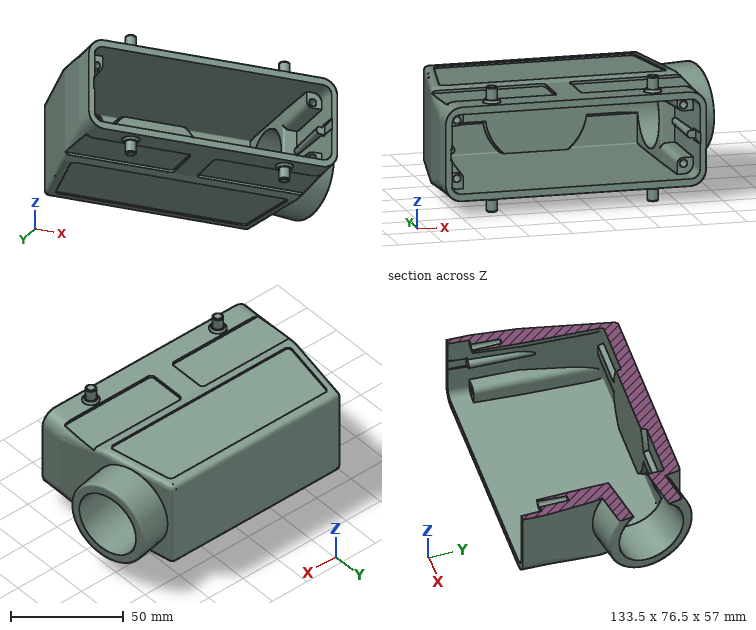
import cadquery as cq
import math


COLLAR_TOP = 11.1
SHOULDER_BOTTOM = 32.3
SHOULDER_TOP = 37.0
HOOD_TOP = 76.1
END_TILT = 11.0
MOUTH_HALF_X = 59.8
SHOULDER_HALF_X = 57.7
COLLAR_HALF_Z = 21.5
HOOD_HALF_Z = 22.5
COLLAR_RADIUS = 7.5
HOOD_RADIUS = 2.4
TOP_ROUND = 2.3

CAVITY_MOUTH_HALF = (57.0, 18.2)
CAVITY_KNEE_HALF = (55.0, 18.2)
CAVITY_FLOOR_HALF = (47.0, 18.2)
CAVITY_KNEE = 32.0
CAVITY_FLOOR = 68.9
CAVITY_RADIUS = 4.3
CAVITY_FLOOR_RADIUS = 0.8
CAVITY_FLOOR_ROUND = 0.5

PATTERN_HEIGHT = 2.4
DISK_RADIUS = 23.4
DISK_BASE_RADIUS = 24.2
RIB_HALF_WIDTH = 2.8
RIB_BASE_HALF_WIDTH = 4.3

POST_FRONT = 9.6
POST_FRONT_INSIDE = (49.1, 10.7)
POST_KNEE_INSIDE = (48.1, 9.6)
POST_BACK_INSIDE = (47.3, 9.6)
POST_RADIUS = 3.0
SCREW_POSITION = (52.1, 13.4)
SCREW_DIAMETER = 3.5
SCREW_END_DIAMETER = 2.5
SCREW_DEPTH = 13.4
KEY_FRONT = 8.7
KEY_DIAMETER = 3.5
KEY_CENTER_X = 55.2
KEY_GROOVE_WIDTH = 5.1
KEY_GROOVE_DEPTH = 0.4
END_BLOCK_FRONT = 33.7
END_BLOCK_ROUND = 1.2
END_BLOCK_FRONT_X = 48.1

OUTLET_CENTER = (70.0, 56.4)
OUTLET_DIAMETER = 41.4
OUTLET_BORE = 32.0
OUTLET_LENGTH = 21.4
OUTLET_ROUND = 1.2
BORE_LENGTH = 42.7

PEG_X = 37.0
PEG_Y = 6.4
PEG_DIAMETER = 5.0
PEG_SPAN = 57.0
PEG_CHAMFER = 0.5
PEG_FOOT_DIAMETER = 8.0
PEG_FOOT_TOP_DIAMETER = 6.1
PEG_FOOT_HEIGHT = 1.2

PANEL_TOP = 71.2
PANEL_MARGIN = 4.3
PANEL_DEPTH = 0.8
PANEL_RADIUS = 2.1
GRIP_INNER_X = 5.6
GRIP_DEPTH = 1.2
GRIP_RADIUS = 2.0

OVERLAP = 1.3


def end_wall_x(y):
    """Half length of the hood at height y above the shoulder."""
    return SHOULDER_HALF_X - (y - SHOULDER_BOTTOM) * math.tan(math.radians(END_TILT))


def rounded_rectangle(half_x, half_z, radius):
    return cq.Sketch().rect(2 * half_x, 2 * half_z).vertices().fillet(radius)


def loft_along_y(start, start_y, end, end_y):
    """Straight-sided body between two XZ outlines."""
    end_place = cq.Location(cq.Vector(0, 0, start_y - end_y))
    plane = cq.Workplane("XZ", origin=(0, start_y, 0))
    return plane.placeSketch(start, end.moved(end_place)).loft(ruled=True)


def both_sides(body, plane):
    return body.union(body.mirror(plane))


def outer_shell():
    collar = rounded_rectangle(MOUTH_HALF_X, COLLAR_HALF_Z, COLLAR_RADIUS)
    waist = rounded_rectangle(SHOULDER_HALF_X, COLLAR_HALF_Z, HOOD_RADIUS)
    shoulder = rounded_rectangle(end_wall_x(SHOULDER_TOP), HOOD_HALF_Z, HOOD_RADIUS)
    top = rounded_rectangle(end_wall_x(HOOD_TOP), HOOD_HALF_Z, HOOD_RADIUS)
    upper = loft_along_y(shoulder, SHOULDER_TOP, top, HOOD_TOP)
    upper = upper.faces(">Y").edges().fillet(TOP_ROUND)
    return (
        loft_along_y(collar, 0, collar, COLLAR_TOP)
        .union(loft_along_y(collar, COLLAR_TOP, waist, SHOULDER_BOTTOM))
        .union(loft_along_y(waist, SHOULDER_BOTTOM, shoulder, SHOULDER_TOP))
        .union(upper)
    )


def cavity():
    mouth = rounded_rectangle(*CAVITY_MOUTH_HALF, CAVITY_RADIUS)
    knee = rounded_rectangle(*CAVITY_KNEE_HALF, CAVITY_RADIUS)
    floor = rounded_rectangle(*CAVITY_FLOOR_HALF, CAVITY_FLOOR_RADIUS)
    lower = loft_along_y(mouth, 0, knee, CAVITY_KNEE)
    upper = loft_along_y(knee, CAVITY_KNEE, floor, CAVITY_FLOOR)
    return lower.union(upper.faces(">Y").edges().fillet(CAVITY_FLOOR_ROUND))


def floor_pattern():
    pattern_top = CAVITY_FLOOR - PATTERN_HEIGHT
    disk = cq.Workplane(
        cq.Solid.makeCone(
            DISK_BASE_RADIUS,
            DISK_RADIUS,
            PATTERN_HEIGHT,
            pnt=cq.Vector(0, CAVITY_FLOOR, 0),
            dir=cq.Vector(0, -1, 0),
        )
    )
    rib = (
        cq.Workplane("YZ")
        .polyline(
            [
                (CAVITY_FLOOR, -RIB_BASE_HALF_WIDTH),
                (CAVITY_FLOOR, RIB_BASE_HALF_WIDTH),
                (pattern_top, RIB_HALF_WIDTH),
                (pattern_top, -RIB_HALF_WIDTH),
            ]
        )
        .close()
        .extrude(MOUTH_HALF_X, both=True)
    )
    return disk.union(rib)


def post_outline(inside):
    """Rounded block that reaches from its inner corner into the walls."""
    inner_x, inner_z = inside
    size_x = MOUTH_HALF_X - inner_x
    size_z = COLLAR_HALF_Z - inner_z
    center = (inner_x + size_x / 2, inner_z + size_z / 2)
    return cq.Sketch().push([center]).rect(size_x, size_z).reset().vertices().fillet(POST_RADIUS)


def screw_posts():
    front = post_outline(POST_FRONT_INSIDE)
    knee = post_outline(POST_KNEE_INSIDE)
    back = post_outline(POST_BACK_INSIDE)
    post = loft_along_y(front, POST_FRONT, knee, CAVITY_KNEE)
    post = post.union(loft_along_y(knee, CAVITY_KNEE, back, CAVITY_FLOOR))
    return both_sides(both_sides(post, "YZ"), "XY")


def screw_holes():
    x, z = SCREW_POSITION
    hole = cq.Workplane(
        cq.Solid.makeCone(
            SCREW_DIAMETER / 2,
            SCREW_END_DIAMETER / 2,
            SCREW_DEPTH,
            pnt=cq.Vector(x, POST_FRONT, z),
            dir=cq.Vector(0, 1, 0),
        )
    )
    return both_sides(both_sides(hole, "YZ"), "XY")


def guide_keys():
    """Round-nosed keys along the middle of both end walls."""
    length = CAVITY_FLOOR - KEY_FRONT
    plane = cq.Workplane("XZ", origin=(KEY_CENTER_X, KEY_FRONT, 0))
    nose = plane.circle(KEY_DIAMETER / 2).extrude(-length)
    root_length = MOUTH_HALF_X - KEY_CENTER_X
    root = plane.center(root_length / 2, 0).rect(root_length, KEY_DIAMETER).extrude(-length)
    return both_sides(nose.union(root), "YZ")


def key_grooves():
    """Shallow grooves in the end walls, from the mouth to the keys."""
    wall_x = CAVITY_MOUTH_HALF[0]
    groove = cq.Workplane("XY").box(
        KEY_GROOVE_DEPTH + OVERLAP, KEY_FRONT, KEY_GROOVE_WIDTH, centered=(False, False, True)
    )
    return both_sides(groove.translate((wall_x - OVERLAP, 0, 0)), "YZ")


def end_block():
    """Thick wall between the +X posts, where the cable outlet enters."""
    return (
        cq.Workplane("XY")
        .polyline(
            [
                (END_BLOCK_FRONT_X, END_BLOCK_FRONT),
                (MOUTH_HALF_X, END_BLOCK_FRONT),
                (MOUTH_HALF_X, CAVITY_FLOOR),
                (CAVITY_FLOOR_HALF[0], CAVITY_FLOOR),
            ]
        )
        .close()
        .extrude(COLLAR_HALF_Z, both=True)
        .edges(cq.selectors.NearestToPointSelector((END_BLOCK_FRONT_X, END_BLOCK_FRONT, 0)))
        .fillet(END_BLOCK_ROUND)
    )


def outlet_plane():
    """Plane on the end face of the outlet, facing outward."""
    tilt = math.radians(END_TILT)
    return cq.Plane(
        origin=(*OUTLET_CENTER, 0), xDir=(0, 0, 1), normal=(math.cos(tilt), math.sin(tilt), 0)
    )


def cable_outlet():
    tube = cq.Workplane(outlet_plane()).circle(OUTLET_DIAMETER / 2).extrude(-OUTLET_LENGTH)
    return tube.edges(cq.selectors.NearestToPointSelector((*OUTLET_CENTER, 0))).fillet(OUTLET_ROUND)


def outlet_bore():
    return cq.Workplane(outlet_plane()).circle(OUTLET_BORE / 2).extrude(-BORE_LENGTH)


def pegs():
    root = COLLAR_HALF_Z - OVERLAP
    up = cq.Vector(0, 0, 1)
    foot = cq.Solid.makeCone(
        PEG_FOOT_DIAMETER / 2,
        PEG_FOOT_TOP_DIAMETER / 2,
        PEG_FOOT_HEIGHT,
        pnt=cq.Vector(PEG_X, PEG_Y, COLLAR_HALF_Z),
        dir=up,
    )
    peg = (
        cq.Workplane("XY", origin=(PEG_X, PEG_Y, root))
        .circle(PEG_DIAMETER / 2)
        .extrude(PEG_SPAN / 2 - root)
        .faces(">Z")
        .chamfer(PEG_CHAMFER)
        .union(cq.Workplane(foot))
    )
    return both_sides(both_sides(peg, "YZ"), "XY")


def upper_panels():
    """Tapered recesses above the shoulder on both broad faces."""
    bottom_x = end_wall_x(SHOULDER_TOP) - PANEL_MARGIN
    top_x = end_wall_x(PANEL_TOP) - PANEL_MARGIN
    panel = (
        cq.Workplane("XY", origin=(0, 0, HOOD_HALF_Z - PANEL_DEPTH))
        .polyline(
            [
                (-bottom_x, SHOULDER_TOP),
                (bottom_x, SHOULDER_TOP),
                (top_x, PANEL_TOP),
                (-top_x, PANEL_TOP),
            ]
        )
        .close()
        .extrude(PANEL_DEPTH + OVERLAP)
        .edges("|Z")
        .fillet(PANEL_RADIUS)
    )
    return both_sides(panel, "XY")


def grip_recesses():
    """Recesses below the shoulder that run out through the ends."""
    length = MOUTH_HALF_X + OVERLAP - GRIP_INNER_X
    recess = (
        cq.Workplane("XY")
        .box(length, SHOULDER_BOTTOM - COLLAR_TOP, GRIP_DEPTH + OVERLAP, centered=False)
        .edges("|Z and <X")
        .fillet(GRIP_RADIUS)
        .translate((GRIP_INNER_X, COLLAR_TOP, COLLAR_HALF_Z - GRIP_DEPTH))
    )
    return both_sides(both_sides(recess, "YZ"), "XY")


fillings = floor_pattern().union(screw_posts()).union(guide_keys()).union(end_block())
hollow = cavity().cut(fillings)

result = (
    outer_shell()
    .cut(upper_panels())
    .cut(grip_recesses())
    .union(cable_outlet())
    .union(pegs())
    .cut(hollow)
    .cut(outlet_bore())
    .cut(screw_holes())
    .cut(key_grooves())
)